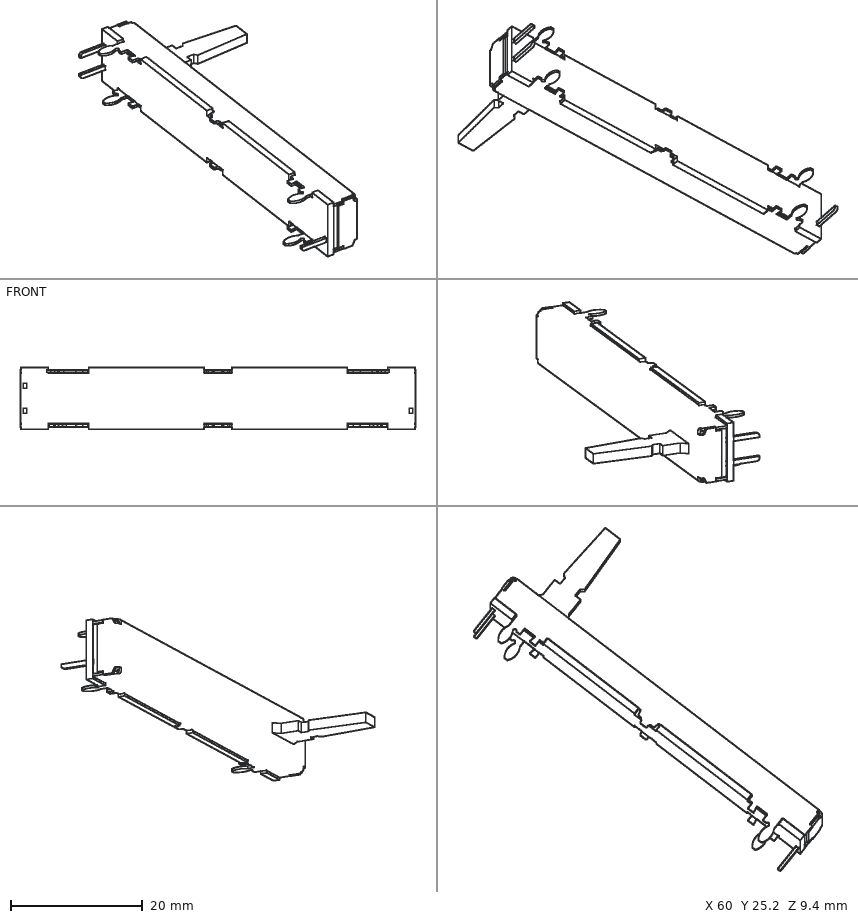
import cadquery as cq


BASE_LENGTH = 59.8
BASE_WIDTH = 9.4
PLATE_THICKNESS = 1.1
NOTCH_CLEARANCE = 0.15

COVER_LENGTH = 60.0
COVER_WIDTH = 8.7
COVER_BACK = 5.65
SHEET = 0.4
BEND_RADIUS = 0.55
CORNER_RELIEF = 0.9
EAR_BOTTOM = 2.95
EAR_TOP = 4.55
EAR_BEVEL_TOP = 4.9
EAR_BEVEL_INSET = 0.75
EAR_GAP = 0.2
FLAP_CLEARANCE = 0.15
FLAP_BOTTOM = 2.0

TAB_LAND = 0.2
END_TAB_OUTER_X = 25.6
END_TAB_INNER_X = 19.8
LEG_X = 24.5
LEG_HALF_WIDTH = 1.1
LEG_SHOULDER = -0.95
LOBE_HALF_WIDTH = 1.45
LOBE_WIDEST = -2.4
LOBE_TIP = -3.8
LOBE_FLAT_OUTER = 0.9
LOBE_FLAT_INNER = 0.3
LOBE_BULGE = 0.2
LOBE_INNER_X = 0.15
LOBE_ROOT = -1.1
RELIEF_TOP = -0.75
RELIEF_X = 0.05
RELIEF_END_X = 0.4
STUB_INNER_X = 20.5
STUB_OUTER_TOP_X = 21.4
STUB_OUTER_TIP_X = 21.6
STUB_TIP = -0.9
MID_TAB_TOP_HALF = 1.75
MID_TAB_LAND_HALF = 1.5
MID_STUB_LAND_HALF = 0.9
MID_STUB_HALF = 0.65
MID_STUB_SHOULDER = -0.1
MID_STUB_TIP = -0.55
MID_STUB_CHAMFER = 0.1
MID_NOTCH_HALF = 2.1

LEVER_X = -22.5
LEVER_THICKNESS = 1.6
LEVER_TIP = 20.7
LEVER_TIP_HALF = 1.45
GRIP_BOTTOM = 11.2
GRIP_BOTTOM_HALF = 2.0
NECK_TOP = 10.8
NECK_HALF = 1.45
STEM_TOP = 9.6
STEM_HALF = 2.5
FLARE_TOP = 6.7
FLARE_HALF = 3.4

TERMINAL_X = 29.3
TERMINAL_Z = 1.9
TERMINAL_SIZE_X = 0.5
TERMINAL_SIZE_Z = 0.75
TERMINAL_TIP = -4.5
TERMINAL_ROUND = 0.5

SIDES = (-1, 1)
INNER_LENGTH = COVER_LENGTH - 2 * SHEET
INNER_WIDTH = COVER_WIDTH - 2 * SHEET


def box(x_range, y_range, z_range):
    """Axis-aligned block between the given limits, each in either order."""
    limits = [sorted(pair) for pair in (x_range, y_range, z_range)]
    size = [high - low for low, high in limits]
    corner = [low for low, high in limits]
    return cq.Workplane("XY").box(*size, centered=False).translate(tuple(corner))


def centred_box(length, y_range, width):
    """Block centred on X = 0 and Z = 0."""
    return box((-length / 2, length / 2), y_range, (-width / 2, width / 2))


def plate_from(outline, z_low, thickness):
    """Extrude a closed XY outline upward from Z = z_low."""
    return outline.close().extrude(thickness).translate((0, 0, z_low))


def tapered_plate(points, z_low, thickness):
    return plate_from(cq.Workplane("XY").polyline(points), z_low, thickness)


def make_cavity():
    """Space inside the folded cover, with the inner radius of its bends."""
    cavity = centred_box(INNER_LENGTH, (PLATE_THICKNESS, COVER_BACK - SHEET), INNER_WIDTH)
    return cavity.faces(">Y").edges().fillet(BEND_RADIUS - SHEET)


def make_terminal(side_x, side_z):
    """Flat pin whose outer tip corner is rounded; its root sits in the base plate."""
    x, z = side_x * TERMINAL_X, side_z * TERMINAL_Z
    half_x, half_z = TERMINAL_SIZE_X / 2, TERMINAL_SIZE_Z / 2
    pin = box((x - half_x, x + half_x), (TERMINAL_TIP, PLATE_THICKNESS), (z - half_z, z + half_z))
    outer_face = ">Z" if side_z > 0 else "<Z"
    return pin.faces("<Y").edges(outer_face).fillet(TERMINAL_ROUND)


terminals = [make_terminal(*corner) for corner in ((-1, 1), (-1, -1), (1, -1))]


def make_base():
    base = centred_box(BASE_LENGTH, (0, PLATE_THICKNESS), BASE_WIDTH)
    base = base.union(make_cavity())
    end_notch = (END_TAB_INNER_X - NOTCH_CLEARANCE, END_TAB_OUTER_X + NOTCH_CLEARANCE)
    notches = [
        (-end_notch[0], -end_notch[1]),
        (-MID_NOTCH_HALF, MID_NOTCH_HALF),
        end_notch,
    ]
    notch_floor = INNER_WIDTH / 2 - NOTCH_CLEARANCE
    for side in SIDES:
        for notch in notches:
            base = base.cut(box(notch, (0, PLATE_THICKNESS), (side * notch_floor, side * BASE_WIDTH / 2)))
    for terminal in terminals:
        base = base.cut(terminal)
    return base


def make_tray():
    """Hollow tray with bent edges around its back face."""
    tray = centred_box(COVER_LENGTH, (PLATE_THICKNESS, COVER_BACK), COVER_WIDTH)
    tray = tray.faces(">Y").edges().fillet(BEND_RADIUS)
    return tray.cut(make_cavity())


def trim_corner(tray, side_x, side_z):
    """Separate an end flap from a side wall, leaving a bevelled ear on the flap."""
    end_x, inner_x = side_x * COVER_LENGTH / 2, side_x * INNER_LENGTH / 2
    edge_z, inner_z = side_z * COVER_WIDTH / 2, side_z * INNER_WIDTH / 2
    wall_end_x = side_x * BASE_LENGTH / 2
    flap_z = inner_z - side_z * FLAP_CLEARANCE
    relief_x = end_x - side_x * CORNER_RELIEF
    relief_z = edge_z - side_z * CORNER_RELIEF
    bend_start = COVER_BACK - BEND_RADIUS

    tray = tray.cut(box((relief_x, end_x), (bend_start, COVER_BACK), (relief_z, edge_z)))
    ear_slot = (inner_x - side_x * EAR_GAP, inner_x)
    tray = tray.cut(box(ear_slot, (EAR_BOTTOM, bend_start), (inner_z, edge_z)))
    tray = tray.cut(box((wall_end_x, end_x), (PLATE_THICKNESS, EAR_BOTTOM), (flap_z, edge_z)))
    tray = tray.cut(box((inner_x, end_x), (FLAP_BOTTOM, EAR_BOTTOM), (flap_z, inner_z)))
    bevel_points = [
        (EAR_TOP, edge_z),
        (EAR_BEVEL_TOP, edge_z - side_z * EAR_BEVEL_INSET),
        (bend_start, relief_z),
        (bend_start, edge_z),
    ]
    bevel = cq.Workplane("YZ").polyline(bevel_points).close().extrude(side_x * SHEET)
    return tray.cut(bevel.translate((inner_x, 0, 0)))


def make_leg(z_low, lobe_side):
    """Snap-in leg at +LEG_X: a neck with one bulging lobe, toward +X when lobe_side is 1."""

    def at(offset, y):
        return (LEG_X + lobe_side * offset, y)

    outline = (
        cq.Workplane("XY")
        .moveTo(*at(LEG_HALF_WIDTH, TAB_LAND))
        .lineTo(*at(LEG_HALF_WIDTH, LEG_SHOULDER))
        .threePointArc(at(LOBE_HALF_WIDTH, LOBE_WIDEST), at(LOBE_FLAT_OUTER, LOBE_TIP))
        .lineTo(*at(LOBE_FLAT_INNER, LOBE_TIP))
        .threePointArc(at(-LOBE_BULGE, LOBE_WIDEST), at(LOBE_INNER_X, LOBE_ROOT))
        .threePointArc(at(-RELIEF_X, RELIEF_TOP), at(-RELIEF_END_X, LEG_SHOULDER))
        .lineTo(*at(-LEG_HALF_WIDTH, LEG_SHOULDER))
        .lineTo(*at(-LEG_HALF_WIDTH, TAB_LAND))
    )
    return plate_from(outline, z_low, SHEET)


def make_end_tab(z_low, lobe_side):
    """Tab near the +X end: a wide land carrying a snap-in leg and a small stub."""
    land = box(
        (END_TAB_INNER_X, END_TAB_OUTER_X),
        (TAB_LAND, PLATE_THICKNESS),
        (z_low, z_low + SHEET),
    )
    stub_points = [
        (STUB_INNER_X, TAB_LAND),
        (STUB_OUTER_TOP_X, TAB_LAND),
        (STUB_OUTER_TIP_X, STUB_TIP),
        (STUB_INNER_X, STUB_TIP),
    ]
    return land.union(tapered_plate(stub_points, z_low, SHEET)).union(make_leg(z_low, lobe_side))


def make_mid_tab(z_low):
    """Stepped, tapering tab at the middle of a side wall."""
    right_half = [
        (MID_TAB_TOP_HALF, PLATE_THICKNESS),
        (MID_TAB_LAND_HALF, TAB_LAND),
        (MID_STUB_LAND_HALF, TAB_LAND),
        (MID_STUB_HALF, MID_STUB_SHOULDER),
        (MID_STUB_HALF, MID_STUB_TIP + MID_STUB_CHAMFER),
        (MID_STUB_HALF - MID_STUB_CHAMFER, MID_STUB_TIP),
    ]
    left_half = [(-x, y) for x, y in reversed(right_half)]
    return tapered_plate(right_half + left_half, z_low, SHEET)


def make_cover():
    cover = make_tray()
    flap_gap = centred_box(COVER_LENGTH, (PLATE_THICKNESS, FLAP_BOTTOM), INNER_WIDTH)
    cover = cover.cut(flap_gap)
    for side_x in SIDES:
        for side_z in SIDES:
            cover = trim_corner(cover, side_x, side_z)
    for z_low, lobe_side in ((-COVER_WIDTH / 2, -1), (INNER_WIDTH / 2, 1)):
        end_tab = make_end_tab(z_low, lobe_side)
        cover = cover.union(end_tab).union(end_tab.mirror("YZ")).union(make_mid_tab(z_low))
    return cover


def make_lever():
    """Flat lever standing on the back of the cover."""
    right_half = [
        (FLARE_HALF, COVER_BACK),
        (STEM_HALF, FLARE_TOP),
        (STEM_HALF, STEM_TOP),
        (NECK_HALF, STEM_TOP),
        (NECK_HALF, NECK_TOP),
        (GRIP_BOTTOM_HALF, GRIP_BOTTOM),
        (LEVER_TIP_HALF, LEVER_TIP),
    ]
    left_half = [(-x, y) for x, y in reversed(right_half)]
    lever = tapered_plate(right_half + left_half, -LEVER_THICKNESS / 2, LEVER_THICKNESS)
    return lever.translate((LEVER_X, 0, 0))


base = make_base()
cover = make_cover()
lever = make_lever()

result = cq.Compound.makeCompound(
    [base.val(), cover.val(), lever.val(), *[terminal.val() for terminal in terminals]]
)